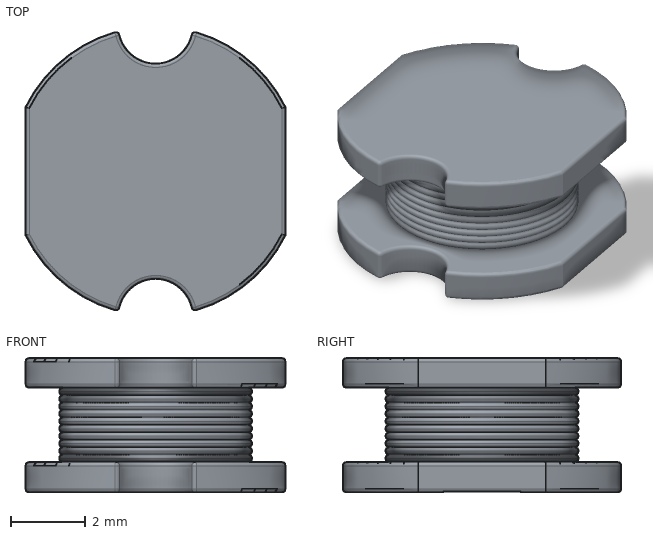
import cadquery as cq

overall_width = 7.0
flange_radius = 3.9
upper_flange_thickness = 0.8
notch_radius = 1.0
edge_fillet = 0.1
recess_depth = 0.02
recess_width = 2.08
turn_count = 10
wire_radius = 0.1
coil_radius = 2.5

wire_diameter = 2 * wire_radius
coil_height = turn_count * wire_diameter
lower_flange_thickness = upper_flange_thickness + recess_depth
overall_height = lower_flange_thickness + coil_height + upper_flange_thickness
base_z = -overall_height / 2
coil_z = base_z + lower_flange_thickness
upper_flange_z = coil_z + coil_height


def flange_blank(thickness):
    """Disc with two flats and two round notches."""
    disc = cq.Workplane("XY").circle(flange_radius).extrude(thickness)
    flats = cq.Workplane("XY").rect(overall_width, 2 * flange_radius).extrude(thickness)
    notches = (
        cq.Workplane("XY")
        .pushPoints([(0, flange_radius), (0, -flange_radius)])
        .circle(notch_radius)
        .extrude(thickness)
    )
    return disc.intersect(flats).cut(notches)


def flange(thickness, bottom_z):
    """Flange with rounded notch tips and rounded upper and lower rims."""
    blank = flange_blank(thickness)
    tip_zone = cq.selectors.BoxSelector(
        (-2 * notch_radius, -flange_radius, 0),
        (2 * notch_radius, flange_radius, thickness),
    )
    notch_tips = blank.edges("|Z").edges(tip_zone)
    rounded_edges = notch_tips.add(blank.faces("<Z or >Z").edges())
    return rounded_edges.fillet(edge_fillet).translate((0, 0, bottom_z))


def winding():
    """Core cylinder wrapped by a stack of touching wire turns."""
    core = cq.Workplane("XY").circle(coil_radius).extrude(coil_height)
    for turn in range(turn_count):
        turn_z = wire_radius + turn * wire_diameter
        ring = (
            cq.Workplane("XZ")
            .center(coil_radius, turn_z)
            .circle(wire_radius)
            .revolve(360, (-coil_radius, 0), (-coil_radius, 1))
        )
        core = core.union(ring)
    return core.translate((0, 0, coil_z))


def underside_recess():
    """Shallow channel along X that separates the two contact pads."""
    channel = cq.Workplane("XY").rect(overall_width, recess_width).extrude(recess_depth)
    return channel.translate((0, 0, base_z))


lower_flange = flange(lower_flange_thickness, base_z).cut(underside_recess())
upper_flange = flange(upper_flange_thickness, upper_flange_z)
result = lower_flange.union(winding()).union(upper_flange)